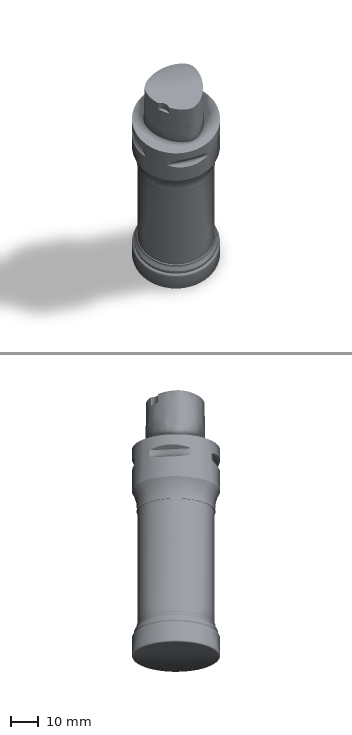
import cadquery as cq
import math

TOTAL_HEIGHT = 99.0
SHANK_HEIGHT = 18.8
FLANGE_HEIGHT = 16.2
NECK_HEIGHT = 7.9
CAP_HEIGHT = 12.0
FLANGE_TOP = TOTAL_HEIGHT - SHANK_HEIGHT
FLANGE_BOTTOM = FLANGE_TOP - FLANGE_HEIGHT
NECK_MIDDLE = FLANGE_BOTTOM - NECK_HEIGHT / 2
NECK_BOTTOM = FLANGE_BOTTOM - NECK_HEIGHT

OUTER_RADIUS = 32.0 / 2
TUBE_RADIUS = 28.0 / 2
SHOULDER_STEP = 0.3
SHOULDER_RADIUS = TUBE_RADIUS + SHOULDER_STEP
NECK_MIDDLE_RADIUS = 14.5

SHANK_BASE_RADIUS = 11.0
SHANK_TOP_RADIUS = 10.6
LOBE_AMPLITUDE = 0.8
LOBE_COUNT = 3
SHANK_POINTS = 36

NOTCH_RADIUS = 3.0
NOTCH_DEPTH = 3.4
NOTCH_FLOOR_DISTANCE = 8.7

SLOT_COUNT = 4
SLOT_FIRST_ANGLE = 45
SLOT_CENTRE_Z = FLANGE_TOP - 6.2
SLOT_FLOOR_DISTANCE = 14.1
SLOT_FLOOR_WIDTH = 2.5
SLOT_FLARE_ANGLE = 30
SLOT_CUT_LENGTH = 2 * OUTER_RADIUS
SLOT_OVERCUT = 1.0

CAP_LIP_BOTTOM = 11.1
CAP_COLLAR_TOP = 9.6
CAP_COLLAR_BOTTOM = 8.7
CAP_COLLAR_RADIUS = 15.2
CAP_GROOVE_Z = 8.0
CAP_GROOVE_RADIUS = 15.1
CAP_RIM_ROUNDING = OUTER_RADIUS - CAP_GROOVE_RADIUS
CAP_EDGE_RADIUS = 0.5


def lobe_point(mean_radius, angle):
    """Point where a line at the given normal angle touches the lobed outline."""
    phase = LOBE_COUNT * (angle - math.pi / 2)
    support = mean_radius + LOBE_AMPLITUDE * math.cos(phase)
    slope = -LOBE_COUNT * LOBE_AMPLITUDE * math.sin(phase)
    x = support * math.cos(angle) - slope * math.sin(angle)
    y = support * math.sin(angle) + slope * math.cos(angle)
    return cq.Vector(x, y, 0)


def lobed_wire(mean_radius, z):
    angles = [2 * math.pi * i / SHANK_POINTS for i in range(SHANK_POINTS)]
    points = [lobe_point(mean_radius, angle) for angle in angles]
    outline = cq.Edge.makeSpline(points, periodic=True)
    return cq.Wire.assembleEdges([outline]).translate(cq.Vector(0, 0, z))


def make_shank():
    base = lobed_wire(SHANK_BASE_RADIUS, FLANGE_TOP)
    top = lobed_wire(SHANK_TOP_RADIUS, TOTAL_HEIGHT)
    shank = cq.Workplane(cq.Solid.makeLoft([base, top], True))
    notch = (
        cq.Workplane("XY", origin=(0, 0, TOTAL_HEIGHT - NOTCH_DEPTH))
        .center(0, -NOTCH_FLOOR_DISTANCE - NOTCH_RADIUS)
        .circle(NOTCH_RADIUS)
        .extrude(NOTCH_DEPTH)
    )
    return shank.cut(notch)


def make_slot_cutter(angle):
    """Trapezoid bar whose narrow face is the flat slot floor."""
    outer_distance = OUTER_RADIUS + SLOT_OVERCUT
    flare = (outer_distance - SLOT_FLOOR_DISTANCE) * math.tan(math.radians(SLOT_FLARE_ANGLE))
    half_floor = SLOT_FLOOR_WIDTH / 2
    return (
        cq.Workplane("XZ", origin=(0, 0, SLOT_CENTRE_Z))
        .moveTo(SLOT_FLOOR_DISTANCE, -half_floor)
        .lineTo(outer_distance, -half_floor - flare)
        .lineTo(outer_distance, half_floor + flare)
        .lineTo(SLOT_FLOOR_DISTANCE, half_floor)
        .close()
        .extrude(SLOT_CUT_LENGTH / 2, both=True)
        .rotate((0, 0, 0), (0, 0, 1), angle)
    )


def make_holder():
    """Tube, concave flared neck, slotted flange and lobed shank."""
    holder = (
        cq.Workplane("XZ")
        .moveTo(0, CAP_HEIGHT)
        .lineTo(TUBE_RADIUS, CAP_HEIGHT)
        .lineTo(TUBE_RADIUS, NECK_BOTTOM)
        .lineTo(SHOULDER_RADIUS, NECK_BOTTOM)
        .threePointArc((NECK_MIDDLE_RADIUS, NECK_MIDDLE), (OUTER_RADIUS, FLANGE_BOTTOM))
        .lineTo(OUTER_RADIUS, FLANGE_TOP)
        .lineTo(0, FLANGE_TOP)
        .close()
        .revolve(360, (0, 0, 0), (0, 1, 0))
    )
    for i in range(SLOT_COUNT):
        holder = holder.cut(make_slot_cutter(SLOT_FIRST_ANGLE + i * 360 / SLOT_COUNT))
    return holder.union(make_shank())


def make_end_cap():
    """Stepped cap with a shallow groove above its rounded rim."""
    return (
        cq.Workplane("XZ")
        .lineTo(OUTER_RADIUS - CAP_EDGE_RADIUS, 0)
        .radiusArc((OUTER_RADIUS, CAP_EDGE_RADIUS), -CAP_EDGE_RADIUS)
        .lineTo(OUTER_RADIUS, CAP_GROOVE_Z - CAP_RIM_ROUNDING)
        .radiusArc((CAP_GROOVE_RADIUS, CAP_GROOVE_Z), -CAP_RIM_ROUNDING)
        .lineTo(CAP_COLLAR_RADIUS, CAP_COLLAR_BOTTOM)
        .lineTo(CAP_COLLAR_RADIUS, CAP_COLLAR_TOP)
        .lineTo(SHOULDER_RADIUS, CAP_LIP_BOTTOM)
        .lineTo(SHOULDER_RADIUS, CAP_HEIGHT)
        .lineTo(0, CAP_HEIGHT)
        .close()
        .revolve(360, (0, 0, 0), (0, 1, 0))
    )


holder = make_holder()
end_cap = make_end_cap()
result = cq.Compound.makeCompound([*holder.solids().vals(), end_cap.val()])